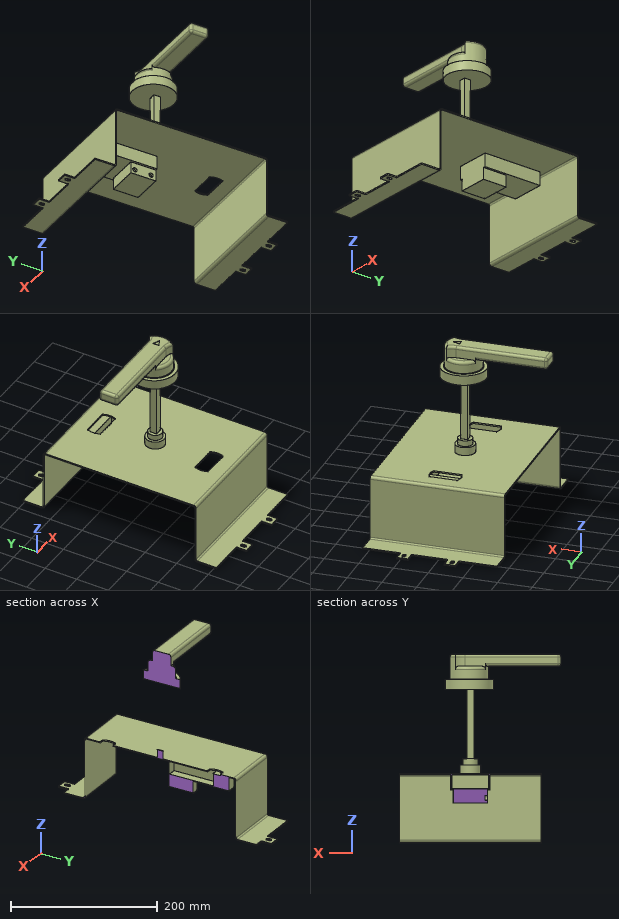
import cadquery as cq
import math

total_length = 338.0
total_height = 258.2

bridge_width = 194.0
bridge_height = 95.0
sheet = 2.0
inner_bend = 2.0
outer_bend = inner_bend + sheet
wall_y = 121.0
tab_width = 16.2
tab_length = 16.0
tab_spacing = 68.3
foot_y = total_length / 2 - tab_length
slot_spacing = 69.5
slot_width = 4.7
slot_length = 8.0
slot_y = 160.0
window_radius = 22.5
window_height = 20.3
window_y = 85.2

deck_underside = bridge_height - sheet
housing_width = 54.0
housing_front_y = 13.2
housing_rear_y = 109.2
housing_bottom = 72.5
housing_wall = 2.0
pocket_rear_y = 83.8
lower_width = 47.3
lower_rear_y = 52.7
lower_bottom = 54.5
pin_hole_diameter = 6.5
pin_hole_depth = 3.5
pin_hole_z = 61.5
pin_hole_ys = (20.5, 46.3)

collar_diameter = 28.7
collar_top = 106.8
sleeve_diameter = 21.0
sleeve_top = 115.3
shaft_side = 10.0

hub_x = 1.5
hub_y = 2.5
rim_diameter = 66.2
rim_bottom = 209.5
rim_top = 223.8
rim_step_diameter = 55.5
rim_step_height = 0.7
hub_radius = 26.7
hub_top = 241.7
hub_round = 4.5

lever_tip_x = -124.0
lever_width = 29.7
lever_bottom = 241.5
lever_round = 4.0
flare_start_x = 7.5
flare_angle = 45.0
arrow_back_x = 6.0
arrow_length = 10.0
arrow_width = 8.8
arrow_depth = 0.5


def block(x0, x1, y0, y1, z0, z1):
    """Axis-aligned box between two opposite corners."""
    return cq.Workplane("XY").box(x1 - x0, y1 - y0, z1 - z0, centered=False).translate((x0, y0, z0))


def disc(diameter, z0, z1, x=0.0, y=0.0):
    """Upright cylinder between two heights."""
    return cq.Workplane("XY", origin=(x, y, z0)).circle(diameter / 2).extrude(z1 - z0)


def bend_middle(center, radius):
    """Middle of a quarter bend in YZ; a positive radius lies toward +Y +Z, a negative one opposite."""
    offset = radius * math.sqrt(0.5)
    return (center[0] + offset, center[1] + offset)


def make_half_bridge():
    """The +Y half of the bent sheet: deck, upright wall and foot."""
    top_bend = (wall_y - outer_bend, bridge_height - outer_bend)
    foot_bend = (wall_y + inner_bend, outer_bend)
    inner_wall_y = wall_y - sheet
    profile = (
        cq.Workplane("YZ", origin=(-bridge_width / 2, 0, 0))
        .moveTo(0, bridge_height)
        .lineTo(top_bend[0], bridge_height)
        .threePointArc(bend_middle(top_bend, outer_bend), (wall_y, top_bend[1]))
        .lineTo(wall_y, foot_bend[1])
        .threePointArc(bend_middle(foot_bend, -inner_bend), (foot_bend[0], sheet))
        .lineTo(foot_y, sheet)
        .lineTo(foot_y, 0)
        .lineTo(foot_bend[0], 0)
        .threePointArc(bend_middle(foot_bend, -outer_bend), (inner_wall_y, foot_bend[1]))
        .lineTo(inner_wall_y, top_bend[1])
        .threePointArc(bend_middle(top_bend, inner_bend), (top_bend[0], deck_underside))
        .lineTo(0, deck_underside)
        .close()
    )
    half = profile.extrude(bridge_width)
    for side in (-1, 1):
        tab_x = side * tab_spacing / 2
        tab = block(tab_x - tab_width / 2, tab_x + tab_width / 2, foot_y, total_length / 2, 0, sheet)
        slot = (
            cq.Workplane("XY", origin=(side * slot_spacing / 2, slot_y, 0))
            .slot2D(slot_length, slot_width, 90)
            .extrude(sheet)
        )
        half = half.union(tab).cut(slot)
    window_band = block(
        -window_radius, window_radius,
        window_y - window_height / 2, window_y + window_height / 2,
        deck_underside, bridge_height,
    )
    window = disc(2 * window_radius, deck_underside, bridge_height, y=window_y).intersect(window_band)
    return half.cut(window)


def make_bridge():
    """Whole bridge, mirrored about the XZ plane."""
    half = make_half_bridge()
    return half.union(half.mirror("XZ"))


def make_housing():
    """Box with an open-topped pocket, and a lower block with pin holes on its -X face."""
    half_width = housing_width / 2
    body = block(-half_width, half_width, housing_front_y, housing_rear_y, housing_bottom, deck_underside)
    pocket = block(
        -half_width + housing_wall, half_width - housing_wall,
        housing_front_y + housing_wall, pocket_rear_y,
        housing_bottom + housing_wall, deck_underside,
    )
    lower = block(
        -lower_width / 2, lower_width / 2,
        housing_front_y, lower_rear_y,
        lower_bottom, housing_bottom,
    )
    pin_holes = (
        cq.Workplane("YZ", origin=(-lower_width / 2, 0, 0))
        .pushPoints([(y, pin_hole_z) for y in pin_hole_ys])
        .circle(pin_hole_diameter / 2)
        .extrude(pin_hole_depth)
    )
    return body.cut(pocket).union(lower.cut(pin_holes))


def make_shaft():
    """Square shaft standing in a stepped collar on the deck."""
    collar = disc(collar_diameter, bridge_height, collar_top)
    sleeve = disc(sleeve_diameter, collar_top, sleeve_top)
    half_side = shaft_side / 2
    shaft = block(-half_side, half_side, -half_side, half_side, sleeve_top, rim_bottom)
    return collar.union(sleeve).union(shaft)


def make_hub():
    """Rim, low step and rounded drum under the lever."""
    step_top = rim_top + rim_step_height
    rim = disc(rim_diameter, rim_bottom, rim_top, hub_x, hub_y)
    step = disc(rim_step_diameter, rim_top, step_top, hub_x, hub_y)
    drum = disc(2 * hub_radius, step_top, hub_top, hub_x, hub_y).faces(">Z").edges().fillet(hub_round)
    return rim.union(step).union(drum)


def flare_arc_middle(flare_x, flare_half):
    """Middle of the -Y flare arc, which leaves the straight side tangentially."""
    run = flare_x - flare_start_x
    rise = flare_half - lever_width / 2
    radius = (run**2 + rise**2) / (2 * rise)
    half_sweep = math.asin(run / radius) / 2
    return (
        flare_start_x + radius * math.sin(half_sweep),
        hub_y - lever_width / 2 - radius * (1 - math.cos(half_sweep)),
    )


def lever_prism(z0, z1):
    """Straight lever that flares out to meet the hub circle at its +X end."""
    half_width = lever_width / 2
    flare_x = hub_x + hub_radius * math.cos(math.radians(flare_angle))
    flare_half = hub_radius * math.sin(math.radians(flare_angle))
    return (
        cq.Workplane("XY", origin=(0, 0, z0))
        .moveTo(lever_tip_x, hub_y - half_width)
        .lineTo(lever_tip_x, hub_y + half_width)
        .lineTo(flare_start_x, hub_y + half_width)
        .tangentArcPoint((flare_x, hub_y + flare_half), relative=False)
        .threePointArc((hub_x + hub_radius, hub_y), (flare_x, hub_y - flare_half))
        .threePointArc(flare_arc_middle(flare_x, flare_half), (flare_start_x, hub_y - half_width))
        .close()
        .extrude(z1 - z0)
    )


def make_lever():
    """Rounded lever with its neck and a shallow direction arrow on top."""
    lever = lever_prism(lever_bottom, total_height)
    lever = lever.edges("|Z and <X").fillet(lever_round)
    lever = lever.faces(">Z").edges().fillet(lever_round)
    lever = lever.faces("<Z").edges().fillet(lever_round)
    neck_bottom = hub_top - hub_round
    neck_top = lever_bottom + 2 * lever_round
    neck_disc = disc(2 * hub_radius, neck_bottom, neck_top, hub_x, hub_y)
    neck = lever_prism(neck_bottom, neck_top).intersect(neck_disc)
    arrow = (
        cq.Workplane("XY", origin=(arrow_back_x, hub_y, total_height - arrow_depth))
        .polyline([(0, -arrow_width / 2), (arrow_length, 0), (0, arrow_width / 2)])
        .close()
        .extrude(arrow_depth)
    )
    return lever.union(neck).cut(arrow)


result = make_bridge().union(make_housing()).union(make_shaft()).union(make_hub()).union(make_lever())